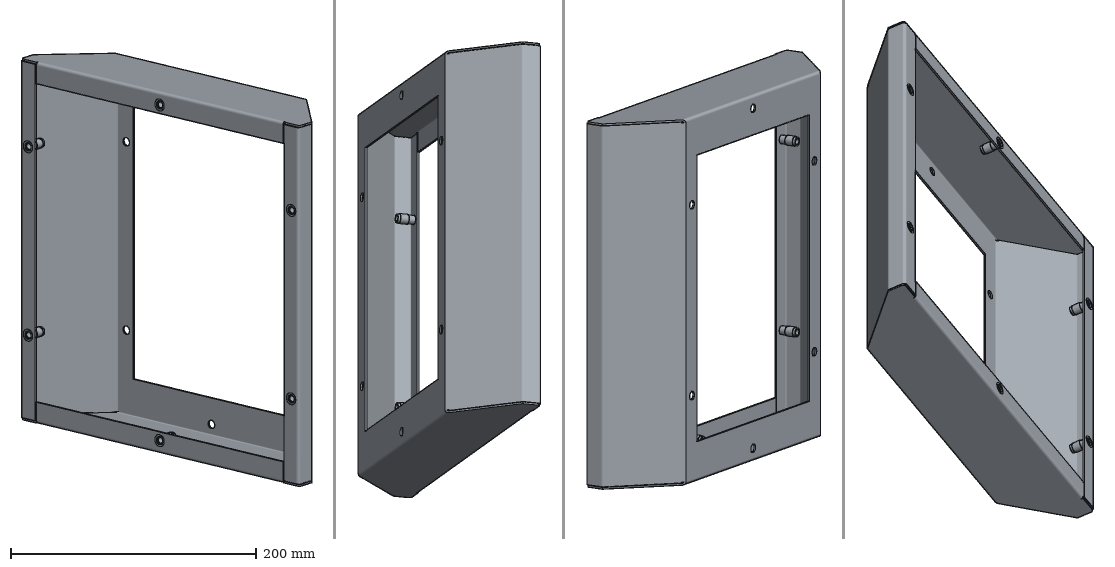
import cadquery as cq
import math

width = 302.0
depth = 65.5
height = 306.0

sheet = 1.5
inner_bend = 1.0
outer_bend = inner_bend + sheet

straight_side = 16.2
slope_run = depth - straight_side
back_width = width - 2 * slope_run

side_flange = 16.0
end_flange = 18.0
flange_gap = 1.2
end_flange_length = width - 2 * (side_flange + flange_gap)

plate_setback = 1.0
plate_corner = 2.5
plate_gap = 0.3

window_width = 169.8
window_height = 240.0
mount_hole_diameter = 7.0
mount_hole_x = 92.5
fixing_z = 80.0

nut_head_diameter = 10.0
nut_body_diameter = 7.3
nut_bore_diameter = 5.0
nut_counterbore_diameter = 6.7
nut_counterbore_depth = 1.2
nut_length = 16.5
bulge_diameter = 8.3
bulge_start = 7.0
bulge_end = 14.5
side_nut_inset = 8.3
end_nut_inset = 10.7


def block(x_size, y_size, z_size, front_y):
    """Box centred in X and Z, with its front face at front_y."""
    return cq.Workplane("XY").box(x_size, y_size, z_size).translate((0, front_y + y_size / 2, 0))


def side_wall_prism(inset, bend):
    """Solid tapered prism, inset from the outer faces, with its upright edges rounded."""
    corner_shift = inset * math.tan(math.radians(22.5))
    half_front = width / 2 - inset
    half_back = back_width / 2 - corner_shift
    shoulder = straight_side - corner_shift
    outline = [
        (-half_front, inset),
        (half_front, inset),
        (half_front, shoulder),
        (half_back, depth - inset),
        (-half_back, depth - inset),
        (-half_front, shoulder),
    ]
    inner_height = height - 2 * sheet
    prism = cq.Workplane("XY").polyline(outline).close().extrude(inner_height)
    return prism.translate((0, 0, -inner_height / 2)).edges("|Z").fillet(bend)


def rounded_bar(inset, bend, length):
    """Solid bar along X with a rounded rectangular section, inset from the outer faces."""
    bar = block(length, depth - 2 * inset, height - 2 * inset, inset)
    return bar.edges("|X").fillet(bend)


def plate_prism():
    """Full height prism with the outline of the end plates, their front corners rounded."""
    half = width / 2
    outline = [
        (-half, plate_setback),
        (half, plate_setback),
        (half, straight_side),
        (back_width / 2, depth),
        (-back_width / 2, depth),
        (-half, straight_side),
    ]
    prism = cq.Workplane("XY").polyline(outline).close().extrude(height)
    prism = prism.faces("<Y").edges("|Z").fillet(plate_corner)
    return prism.translate((0, 0, -height / 2))


def make_side_walls():
    """Side flanges, straight sides, slopes and back panel, bent from one strip."""
    walls = side_wall_prism(0, outer_bend).cut(side_wall_prism(sheet, inner_bend))
    walls = walls.cut(block(width - 2 * side_flange, outer_bend, height, 0))

    front_depth = depth - outer_bend
    front_trim = block(width, front_depth, height - 2 * (sheet + plate_gap), 0)
    back_trim = block(width, outer_bend, height - 2 * outer_bend, front_depth)
    return walls.intersect(front_trim.union(back_trim))


def make_end_plates():
    """Top and bottom plates, each bent into a front flange and into the back panel."""
    front_bends = block(end_flange_length, outer_bend, height, 0)
    plan = plate_prism().union(front_bends)
    flat_corners = plate_prism().cut(block(width, depth, height - 2 * sheet, 0))
    flat_corners = flat_corners.cut(block(width, depth, height, outer_bend))

    section = rounded_bar(0, outer_bend, width).cut(rounded_bar(sheet, inner_bend, width))
    section = section.cut(block(width, outer_bend, height - 2 * end_flange, 0))
    bent = section.intersect(front_bends.union(block(width, depth, height, outer_bend)))
    return bent.intersect(plan).union(flat_corners.cut(front_bends))


def fixing_pattern(side_x):
    """X and Z of six fixings: two on each side, one at the bottom and one at the top."""
    end_z = height / 2 - end_nut_inset
    sides = [(x, z) for x in (-side_x, side_x) for z in (-fixing_z, fixing_z)]
    return sides + [(0, -end_z), (0, end_z)]


def nut_envelope():
    """Rivet nut without its bore: a flush countersunk head and a body with a bulge."""
    half_section = [
        (0, 0),
        (nut_head_diameter / 2, 0),
        (nut_body_diameter / 2, sheet),
        (nut_body_diameter / 2, bulge_start),
        (bulge_diameter / 2, bulge_start),
        (bulge_diameter / 2, bulge_end),
        (nut_body_diameter / 2, bulge_end),
        (nut_body_diameter / 2, nut_length),
        (0, nut_length),
    ]
    return cq.Workplane("XY").polyline(half_section).close().revolve(360, (0, 0), (0, 1))


def make_rivet_nut():
    """Rivet nut bored through, with a shallow counterbore in its head."""
    bore = cq.Workplane("XZ").circle(nut_bore_diameter / 2).extrude(-nut_length)
    counterbore = cq.Workplane("XZ").circle(nut_counterbore_diameter / 2).extrude(-nut_counterbore_depth)
    return nut_envelope().cut(bore).cut(counterbore)


def make_housing(nut_places):
    """Bent sheet housing with its window, mounting holes and rivet nut seats."""
    housing = make_side_walls().union(make_end_plates())
    housing = housing.cut(block(window_width, sheet, window_height, depth - sheet))
    for x, z in fixing_pattern(mount_hole_x):
        hole = cq.Workplane("XZ", origin=(x, depth, z)).circle(mount_hole_diameter / 2)
        housing = housing.cut(hole.extrude(sheet))
    for x, z in nut_places:
        housing = housing.cut(nut_envelope().translate((x, 0, z)))
    return housing


nut_places = fixing_pattern(width / 2 - side_nut_inset)

housing = make_housing(nut_places)
rivet_nuts = [make_rivet_nut().translate((x, 0, z)) for x, z in nut_places]

result = cq.Compound.makeCompound([housing.val(), *[nut.val() for nut in rivet_nuts]])